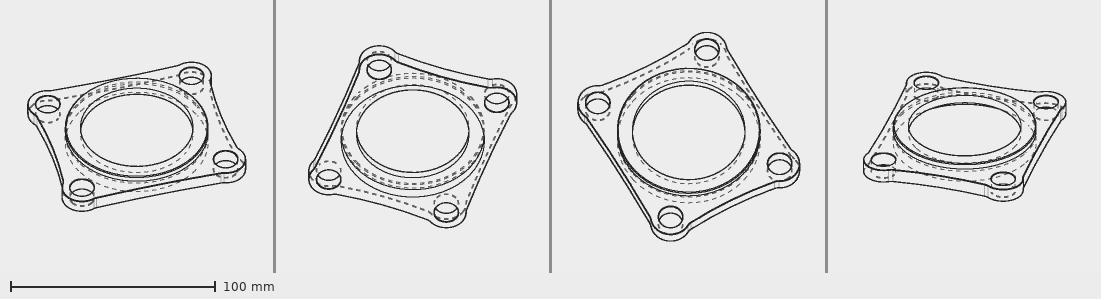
import cadquery as cq

length = 92.65
width = 80.7
height = 10.0
plate_thickness = 7.0

lobe_radius = 9.8
bolt_hole_diameter = 11.7
lobe_x = width / 2 - lobe_radius
lobe_y = length / 2 - lobe_radius

side_middle_x = 38.8
side_end_x = 39.7
side_middle_y = 42.8
side_end_y = 45.1
lobe_blend_radius = 5.0
seam_tolerance = 0.1

ring_diameter = 69.95
bore_diameter = 55.0
bore_lip_height = 4.3
recess_diameter = ring_diameter
recess_depth = height - bore_lip_height

plate_chamfer = 0.3
ring_chamfer = 0.5

lobe_centers = [(sx * lobe_x, sy * lobe_y) for sx in (-1, 1) for sy in (-1, 1)]


def make_plate():
    """Four-sided plate with hollow sides, blended into a round lobe at each corner."""
    web = (
        cq.Workplane("XY")
        .moveTo(-lobe_x, side_end_y)
        .threePointArc((0, side_middle_y), (lobe_x, side_end_y))
        .lineTo(lobe_x, lobe_y)
        .lineTo(side_end_x, lobe_y)
        .threePointArc((side_middle_x, 0), (side_end_x, -lobe_y))
        .lineTo(lobe_x, -lobe_y)
        .lineTo(lobe_x, -side_end_y)
        .threePointArc((0, -side_middle_y), (-lobe_x, -side_end_y))
        .lineTo(-lobe_x, -lobe_y)
        .lineTo(-side_end_x, -lobe_y)
        .threePointArc((-side_middle_x, 0), (-side_end_x, lobe_y))
        .lineTo(-lobe_x, lobe_y)
        .close()
        .extrude(plate_thickness)
    )
    lobes = cq.Workplane("XY").pushPoints(lobe_centers).circle(lobe_radius).extrude(plate_thickness)
    blank = web.union(lobes)
    corners = blank.edges("|Z").filter(lambda edge: abs(abs(edge.Center().y) - lobe_y) > seam_tolerance)
    blank = corners.fillet(lobe_blend_radius)

    bolt_holes = (
        cq.Workplane("XY").pushPoints(lobe_centers).circle(bolt_hole_diameter / 2).extrude(plate_thickness)
    )
    return blank.cut(bolt_holes).faces("<Z or >Z").chamfer(plate_chamfer)


def make_ring():
    """Raised ring, broken along its top outer edge; it starts at the plate underside."""
    return cq.Workplane("XY").circle(ring_diameter / 2).extrude(height).faces(">Z").chamfer(ring_chamfer)


def make_opening():
    """Through bore with a wider recess let in from the underside."""
    bore = cq.Workplane("XY").circle(bore_diameter / 2).extrude(height)
    recess = cq.Workplane("XY").circle(recess_diameter / 2).extrude(recess_depth)
    return bore.union(recess)


result = make_plate().union(make_ring()).cut(make_opening())